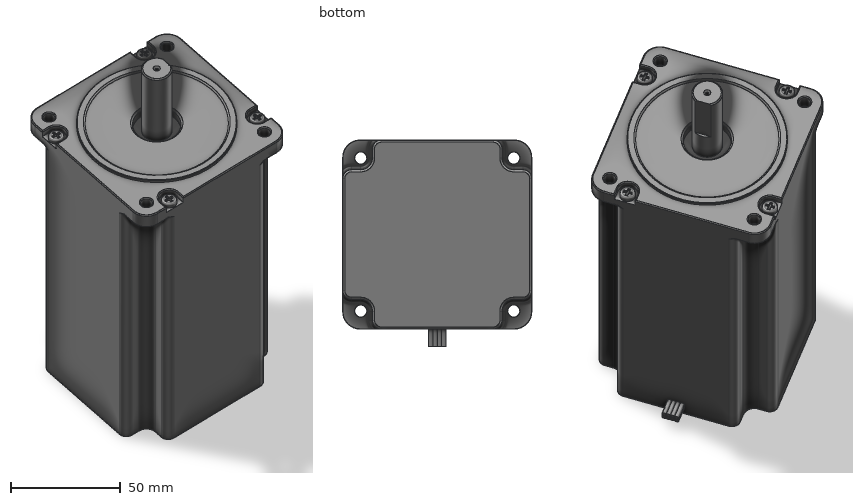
import cadquery as cq
import math

body_width = 86.0
half_width = body_width / 2
flange_top_z = 156.0
flange_thickness = 7.3
flange_corner_radius = 8.0
flange_edge_chamfer = 0.5
base_chamfer = 1.0

notch_depth = 13.5
notch_lip_radius = 4.0
notch_root_radius = 5.4
notch_top_fillet = 1.6
notch_top_z = flange_top_z - flange_thickness

mount_hole_spacing = 69.6
mount_hole_diameter = 5.5
mount_hole_chamfer = 0.5

pilot_diameter = 73.0
pilot_height = 1.5
pilot_top_z = flange_top_z + pilot_height
pilot_edge_chamfer = 0.3
dish_diameter = 65.2
dish_depth = 0.6
dish_wall_width = 0.8
dish_floor_z = pilot_top_z - dish_depth
recess_diameter = 22.0
recess_depth = 4.6
recess_floor_z = dish_floor_z - recess_depth
recess_chamfer = 0.9

shaft_diameter = 14.0
shaft_top_z = 193.0
shaft_chamfer = 0.6
shaft_flat_length = 25.0
shaft_flat_depth = 1.2
center_hole_diameter = 1.6
center_hole_chamfer = 0.8
center_hole_depth = 4.0

screw_offset_along_edge = 24.8
screw_distance_from_axis = 38.8
pocket_width = 9.8
pocket_chamfer = 0.5
pocket_depth = 3.3
pocket_floor_z = flange_top_z - pocket_depth
screw_head_diameter = 7.2
screw_head_height = 2.3
screw_head_fillet = 1.2
cross_length = 4.0
cross_width = 1.1
cross_depth = 1.2

wire_columns = 4
wire_rows = 2
wire_diameter = 2.1
wire_pitch = 2.0
wire_length = 8.0
wire_root = 2.0
wire_bundle_z = 6.8


def cylinder(diameter, bottom_z, top_z):
    return cq.Workplane("XY").workplane(offset=bottom_z).circle(diameter / 2).extrude(top_z - bottom_z)


def flare(bottom_diameter, bottom_z, widening, height):
    """Cone that widens upward by the given radial amount."""
    bottom_radius = bottom_diameter / 2
    base_point = cq.Vector(0, 0, bottom_z)
    return cq.Workplane(cq.Solid.makeCone(bottom_radius, bottom_radius + widening, height, base_point))


def chamfered_hole(diameter, bottom_z, top_z, chamfer):
    """Cutting tool for a vertical hole with a chamfered mouth at its top."""
    bore = cylinder(diameter, bottom_z, top_z)
    return bore.union(flare(diameter, top_z - chamfer, chamfer, chamfer))


def quarter_turns(shape):
    """The shape repeated at the four quarter turns about the Z axis."""
    return [shape.rotate((0, 0, 0), (0, 0, 1), 90 * turn) for turn in range(4)]


def notch_outline():
    """Area removed at the +X +Y corner: rounded lips on the side faces, rounded root inside."""
    wall = half_width - notch_depth
    lip_end = half_width - notch_lip_radius
    lip_start = wall - notch_lip_radius
    root_end = wall + notch_root_radius
    lip_sag = notch_lip_radius * math.sqrt(0.5)
    root_sag = notch_root_radius * math.sqrt(0.5)
    lip_mid = (lip_start + lip_sag, lip_end + lip_sag)
    root_mid = (root_end - root_sag, root_end - root_sag)
    return (
        cq.Workplane("XY")
        .moveTo(lip_start, half_width)
        .threePointArc(lip_mid, (wall, lip_end))
        .lineTo(wall, root_end)
        .threePointArc(root_mid, (root_end, wall))
        .lineTo(lip_end, wall)
        .threePointArc((lip_mid[1], lip_mid[0]), (half_width, lip_start))
        .lineTo(half_width, half_width)
        .close()
    )


def make_body():
    body = (
        cq.Workplane("XY")
        .rect(body_width, body_width)
        .extrude(flange_top_z)
        .edges("|Z")
        .fillet(flange_corner_radius)
        .faces(">Z")
        .edges()
        .chamfer(flange_edge_chamfer)
    )
    notch = notch_outline().extrude(notch_top_z)
    notch = notch.faces(">Z").edges("not(>X or >Y)").fillet(notch_top_fillet)
    for corner_notch in quarter_turns(notch):
        body = body.cut(corner_notch)
    return body.faces("<Z").edges().chamfer(base_chamfer)


def make_mount_hole():
    hole = chamfered_hole(mount_hole_diameter, 0, flange_top_z, mount_hole_chamfer)
    return hole.translate((mount_hole_spacing / 2, mount_hole_spacing / 2, 0))


def make_pilot():
    pilot = cylinder(pilot_diameter, flange_top_z, pilot_top_z)
    pilot = pilot.faces(">Z").edges().chamfer(pilot_edge_chamfer)
    return pilot.cut(flare(dish_diameter, dish_floor_z, dish_wall_width, dish_depth))


def make_shaft():
    shaft = cylinder(shaft_diameter, recess_floor_z, shaft_top_z)
    shaft = shaft.faces(">Z").edges().chamfer(shaft_chamfer)
    flat = (
        cq.Workplane("XY")
        .box(shaft_diameter, shaft_diameter, shaft_flat_length, centered=(True, False, False))
        .translate((0, shaft_diameter / 2 - shaft_flat_depth, shaft_top_z - shaft_flat_length))
    )
    center_hole_bottom_z = shaft_top_z - center_hole_depth
    center_hole = chamfered_hole(
        center_hole_diameter, center_hole_bottom_z, shaft_top_z, center_hole_chamfer
    )
    return shaft.cut(flat).cut(center_hole)


def make_screw_pocket():
    """U-shaped pocket, open through the +Y side face, with a chamfered upper edge."""
    radius = pocket_width / 2
    mouth_angle = 45
    open_end = half_width - screw_distance_from_axis + radius
    pocket = (
        cq.Workplane("XY")
        .moveTo(-radius, open_end)
        .lineTo(-radius, 0)
        .threePointArc((0, -radius), (radius, 0))
        .lineTo(radius, open_end)
        .close()
        .extrude(pocket_depth - pocket_chamfer)
    )
    mouth = (
        pocket.faces(">Z")
        .wires()
        .toPending()
        .workplane()
        .extrude(pocket_chamfer, taper=-mouth_angle, combine=False)
    )
    pocket = pocket.union(mouth)
    return pocket.translate((screw_offset_along_edge, screw_distance_from_axis, pocket_floor_z))


def make_screw_head():
    """Pan head with a cross recess, standing on the pocket floor."""
    head = cylinder(screw_head_diameter, 0, screw_head_height)
    head = head.faces(">Z").edges().fillet(screw_head_fillet)
    slot = cq.Workplane("XY").rect(cross_length, cross_width).extrude(cross_depth)
    cross = slot.union(slot.rotate((0, 0, 0), (0, 0, 1), 90))
    head = head.cut(cross.translate((0, 0, screw_head_height - cross_depth)))
    return head.translate((screw_offset_along_edge, screw_distance_from_axis, pocket_floor_z))


def make_wire(column, row):
    x = (column - (wire_columns - 1) / 2) * wire_pitch
    z = wire_bundle_z + (row - (wire_rows - 1) / 2) * wire_pitch
    start = cq.Workplane("XZ", origin=(x, half_width - wire_root, z))
    return start.circle(wire_diameter / 2).extrude(-(wire_root + wire_length))


body = make_body().union(make_pilot())
body = body.cut(chamfered_hole(recess_diameter, recess_floor_z, dish_floor_z, recess_chamfer))
for hole in quarter_turns(make_mount_hole()):
    body = body.cut(hole)
for pocket in quarter_turns(make_screw_pocket()):
    body = body.cut(pocket)
for screw_head in quarter_turns(make_screw_head()):
    body = body.union(screw_head)
body = body.union(make_shaft())
for column in range(wire_columns):
    for row in range(wire_rows):
        body = body.union(make_wire(column, row))
result = body